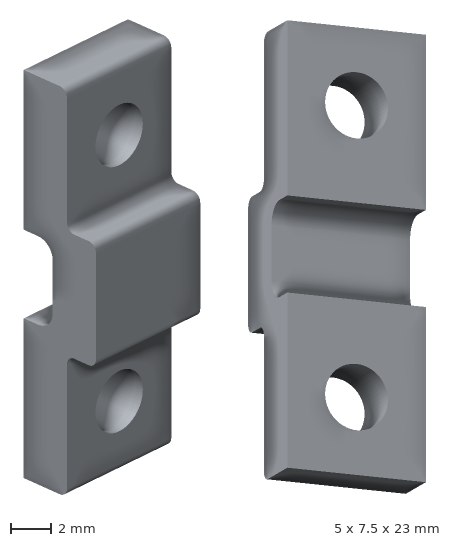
import cadquery as cq

height = 23.0
width = 7.5
depth = 5.0

plate_thickness = 3.0
block_height = 7.0
groove_height = depth
groove_depth = depth - plate_thickness

edge_radius = 0.5
groove_radius = 2 * edge_radius

hole_diameter = 3.4
hole_spacing = 15.0


def centered_bar(x_start, x_size, z_size):
    """Full-width bar starting at x_start, centred on Y and Z."""
    bar = cq.Workplane("XY").box(x_size, width, z_size, centered=(False, True, True))
    return bar.translate((x_start, 0, 0))


def edges_at(x, z_size):
    """Selector for the two Y-parallel edges at x and z = +/- z_size / 2."""
    tolerance = 0.02
    upper, lower = [
        cq.selectors.BoxSelector(
            (x - tolerance, -width, z - tolerance),
            (x + tolerance, width, z + tolerance),
        )
        for z in (z_size / 2, -z_size / 2)
    ]
    return upper + lower


body = centered_bar(0, plate_thickness, height)
body = body.union(centered_bar(0, depth, block_height))
body = body.cut(centered_bar(0, groove_depth, groove_height))

for x, z_size in (
    (plate_thickness, height),
    (depth, block_height),
    (plate_thickness, block_height),
):
    body = body.edges(edges_at(x, z_size)).fillet(edge_radius)

body = body.edges(edges_at(groove_depth, groove_height)).fillet(groove_radius)

holes = (
    cq.Workplane("YZ")
    .pushPoints([(0, hole_spacing / 2), (0, -hole_spacing / 2)])
    .circle(hole_diameter / 2)
    .extrude(plate_thickness)
)
result = body.cut(holes)